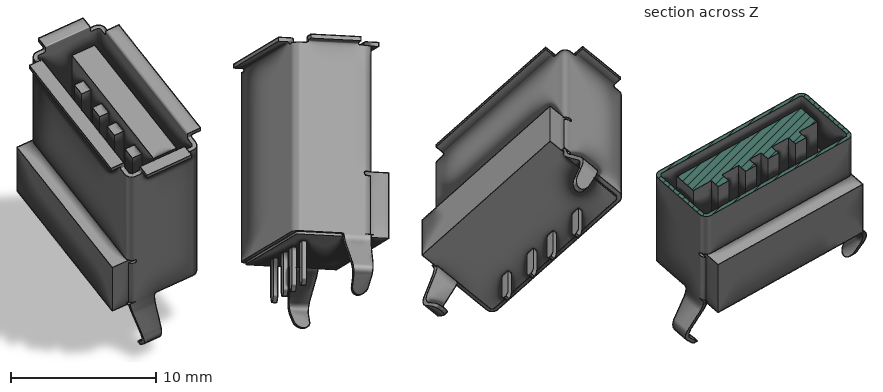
import cadquery as cq
import math


SHELL_X = 13.2
SHELL_Y = 5.7
WALL = 0.32
CORNER_R = 0.55
SHELL_BOTTOM = 0.18
RIM_Z = 13.38
TOP_Z = 13.85

LIP_THICKNESS = 0.29
LIP_X_REACH = 7.27
LIP_Y_REACH = 3.6
LONG_LIP = 10.94
SHORT_LIP = 3.6
LIP_BEND_R = 0.15
LIP_UNDER_R = 0.13
LIP_ROOT_R = 0.16

BLOCK_X = 12.77
BLOCK_FRONT_Y = -4.05
BLOCK_TOP = 4.59
SLIT_HEIGHT = 0.29
SLIT_END_Y = -2.23

TONGUE_X = LONG_LIP
TONGUE_BACK_Y = 1.65
TONGUE_FRONT_Y = -0.18
TONGUE_TOP = 12.86
CONTACT_WIDTH = 0.97
CONTACT_FRONT_Y = -0.94
CONTACT_TOP = 11.78
CONTACT_XS = (-3.4, -0.99, 0.99, 3.4)

PIN_XS = (-3.5, -0.99, 0.99, 3.5)
PIN_WIDTH = 0.63
PIN_THICKNESS = 0.32
PIN_Y = 1.26
PIN_END = -3.05
PIN_TIP_HEIGHT = 0.41
PIN_TIP_WIDTH = 0.16
PIN_TIP_R = 0.72

LEG_Y = -1.75
LEG_END = -4.14
LEG_REACH = 7.99
LEG_ROOT_WIDTH = 1.95
LEG_TIP_WIDTH = 1.15
LEG_ROOT_R = 0.18
LEG_UPPER_ANGLE = math.radians(35.5)
LEG_LOWER_ANGLE = math.radians(40)
LEG_UPPER_R = 1.3
LEG_KNEE_R = 0.85
KNEE_Z = -2.52

INNER_X = SHELL_X - 2 * WALL
INNER_Y = SHELL_Y - 2 * WALL
INNER_R = CORNER_R - WALL


def block(x_range, y_range, z_range):
    """Box between two limits along each axis."""
    (x0, x1), (y0, y1), (z0, z1) = x_range, y_range, z_range
    return cq.Workplane("XY").box(x1 - x0, y1 - y0, z1 - z0, centered=False).translate((x0, y0, z0))


def rounded_column(size_x, size_y, radius, z0, z1):
    """Upright column with rounded vertical edges."""
    column = cq.Workplane("XY").workplane(offset=z0).rect(size_x, size_y).extrude(z1 - z0)
    return column.edges("|Z").fillet(radius)


def make_lip(wall_outer, reach, length):
    """Lip flaring towards +X from a wall whose outer face is at x = wall_outer."""
    wall_inner = wall_outer - WALL
    under = TOP_Z - LIP_THICKNESS
    profile = (
        cq.Workplane("XZ")
        .moveTo(wall_inner, RIM_Z - LIP_ROOT_R)
        .lineTo(wall_outer, RIM_Z - LIP_ROOT_R)
        .lineTo(wall_outer, under - LIP_UNDER_R)
        .radiusArc((wall_outer + LIP_UNDER_R, under), LIP_UNDER_R)
        .lineTo(reach, under)
        .lineTo(reach, TOP_Z)
        .lineTo(wall_inner + LIP_BEND_R, TOP_Z)
        .radiusArc((wall_inner, TOP_Z - LIP_BEND_R), -LIP_BEND_R)
        .close()
    )
    lip = profile.extrude(length / 2, both=True)
    for side in (-1, 1):
        lip = lip.union(make_lip_root(wall_inner, side, length / 2))
    return lip


def make_lip_root(wall_inner, side, half_length):
    """Concave fillet between the end of a lip and the shell rim."""
    return (
        cq.Workplane("YZ")
        .workplane(offset=wall_inner)
        .moveTo(side * half_length, RIM_Z)
        .lineTo(side * (half_length + LIP_ROOT_R), RIM_Z)
        .radiusArc((side * half_length, RIM_Z + LIP_ROOT_R), side * LIP_ROOT_R)
        .close()
        .extrude(WALL)
    )


def make_shell():
    outer = rounded_column(SHELL_X, SHELL_Y, CORNER_R, SHELL_BOTTOM, RIM_Z)
    shell = outer.cut(rounded_column(INNER_X, INNER_Y, INNER_R, SHELL_BOTTOM, RIM_Z))
    side_lip = make_lip(SHELL_X / 2, LIP_X_REACH, SHORT_LIP)
    long_lip = make_lip(SHELL_Y / 2, LIP_Y_REACH, LONG_LIP)
    for lip, turns in ((side_lip, (0, 180)), (long_lip, (90, 270))):
        for turn in turns:
            shell = shell.union(lip.rotate((0, 0, 0), (0, 0, 1), turn))
    return shell.cut(make_slit())


def make_slit():
    """Round-ended slit through the front corners, just under the top of the front block."""
    slit_r = SLIT_HEIGHT / 2
    straight = block(
        (-SHELL_X / 2, SHELL_X / 2),
        (-SHELL_Y / 2, SLIT_END_Y - slit_r),
        (BLOCK_TOP - SLIT_HEIGHT, BLOCK_TOP),
    )
    round_end = (
        cq.Workplane("YZ")
        .center(SLIT_END_Y - slit_r, BLOCK_TOP - slit_r)
        .circle(slit_r)
        .extrude(SHELL_X / 2, both=True)
    )
    return straight.union(round_end)


def make_housing():
    """Plastic filling of the shell, its front block, and the tongue with its contacts."""
    housing = rounded_column(INNER_X, INNER_Y, INNER_R, 0, BLOCK_TOP)
    half = BLOCK_X / 2
    housing = housing.union(block((-half, half), (BLOCK_FRONT_Y, SLIT_END_Y), (0, BLOCK_TOP)))
    half = TONGUE_X / 2
    tongue = block((-half, half), (TONGUE_FRONT_Y, TONGUE_BACK_Y), (BLOCK_TOP, TONGUE_TOP))
    housing = housing.union(tongue)
    half = CONTACT_WIDTH / 2
    for x in CONTACT_XS:
        contact = block((x - half, x + half), (CONTACT_FRONT_Y, TONGUE_FRONT_Y), (BLOCK_TOP, CONTACT_TOP))
        housing = housing.union(contact)
    return housing


def make_pin(x):
    """Flat solder pin with a tapered tip."""
    shoulder = PIN_END + PIN_TIP_HEIGHT
    half = PIN_WIDTH / 2
    half_tip = PIN_TIP_WIDTH / 2
    pin = (
        cq.Workplane("XZ")
        .moveTo(-half, 0)
        .lineTo(-half, shoulder)
        .radiusArc((-half_tip, PIN_END), -PIN_TIP_R)
        .lineTo(half_tip, PIN_END)
        .radiusArc((half, shoulder), -PIN_TIP_R)
        .lineTo(half, 0)
        .close()
        .extrude(PIN_THICKNESS / 2, both=True)
    )
    return pin.translate((x, PIN_Y, 0))


def make_leg():
    """Bent spring leg under the +X side of the shell."""
    root_x = SHELL_X / 2
    bend_x = root_x + LEG_UPPER_R
    knee_x = LEG_REACH - LEG_KNEE_R

    radii = LEG_UPPER_R + LEG_KNEE_R
    run = (bend_x - knee_x - radii * math.cos(LEG_UPPER_ANGLE)) / math.sin(LEG_UPPER_ANGLE)
    bend_z = KNEE_Z + radii * math.sin(LEG_UPPER_ANGLE) - run * math.cos(LEG_UPPER_ANGLE)

    def upper(angle):
        """Point on the upper bend."""
        return (bend_x - LEG_UPPER_R * math.cos(angle), bend_z - LEG_UPPER_R * math.sin(angle))

    def knee(angle):
        """Point on the knee."""
        return (knee_x + LEG_KNEE_R * math.cos(angle), KNEE_Z + LEG_KNEE_R * math.sin(angle))

    def inner(point):
        """Matching point on the inner face."""
        return (point[0] - WALL, point[1])

    knee_end = knee(-LEG_LOWER_ANGLE)
    tip = (knee_end[0] - (knee_end[1] - LEG_END) * math.tan(LEG_LOWER_ANGLE), LEG_END)

    side_profile = (
        cq.Workplane("XZ")
        .moveTo(root_x, SHELL_BOTTOM)
        .lineTo(*upper(0))
        .threePointArc(upper(LEG_UPPER_ANGLE / 2), upper(LEG_UPPER_ANGLE))
        .lineTo(*knee(LEG_UPPER_ANGLE))
        .threePointArc(knee(0), knee_end)
        .lineTo(*tip)
        .lineTo(*inner(tip))
        .lineTo(*inner(knee_end))
        .threePointArc(inner(knee(0)), inner(knee(LEG_UPPER_ANGLE)))
        .lineTo(*inner(upper(LEG_UPPER_ANGLE)))
        .threePointArc(inner(upper(LEG_UPPER_ANGLE / 2)), inner(upper(0)))
        .lineTo(root_x - WALL, SHELL_BOTTOM)
        .close()
    )
    strip = side_profile.extrude(SHELL_X, both=True)

    half_root = LEG_ROOT_WIDTH / 2
    half_tip = LEG_TIP_WIDTH / 2
    root_z = SHELL_BOTTOM - LEG_ROOT_R
    front_profile = (
        cq.Workplane("YZ")
        .moveTo(-half_root - LEG_ROOT_R, SHELL_BOTTOM)
        .radiusArc((-half_root, root_z), LEG_ROOT_R)
        .lineTo(-half_tip, LEG_END + half_tip)
        .threePointArc((0, LEG_END), (half_tip, LEG_END + half_tip))
        .lineTo(half_root, root_z)
        .radiusArc((half_root + LEG_ROOT_R, SHELL_BOTTOM), LEG_ROOT_R)
        .close()
        .extrude(SHELL_X)
    )
    return strip.intersect(front_profile).translate((0, LEG_Y, 0))


result = make_shell().union(make_housing())
for pin_x in PIN_XS:
    result = result.union(make_pin(pin_x))
leg = make_leg()
result = result.union(leg).union(leg.mirror("YZ"))